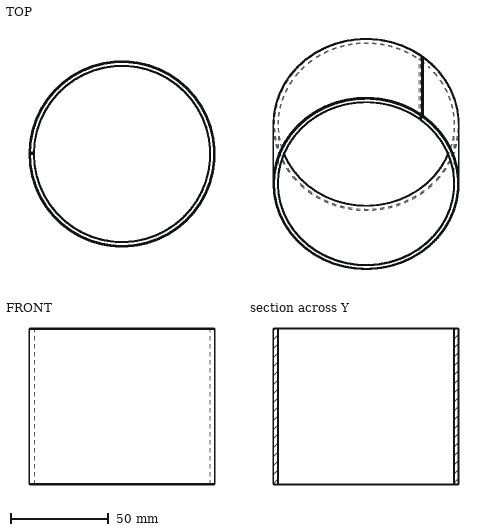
import cadquery as cq

outer_diameter = 95.0
wall = 2.5
length = 80.0
edge_chamfer = 0.5
bore_chamfer = 0.2
slit_angle = 1.0

outer_radius = outer_diameter / 2
inner_radius = outer_radius - wall
full_turn = 360.0


def wall_section():
    """Wall cross-section on the -X side, with all four corners chamfered."""
    return (
        cq.Workplane("XZ")
        .moveTo(-inner_radius - bore_chamfer, 0)
        .lineTo(-outer_radius + edge_chamfer, 0)
        .lineTo(-outer_radius, edge_chamfer)
        .lineTo(-outer_radius, length - edge_chamfer)
        .lineTo(-outer_radius + edge_chamfer, length)
        .lineTo(-inner_radius - bore_chamfer, length)
        .lineTo(-inner_radius, length - bore_chamfer)
        .lineTo(-inner_radius, bore_chamfer)
        .close()
    )


result = wall_section().revolve(full_turn - slit_angle, (0, 0, 0), (0, 1, 0))